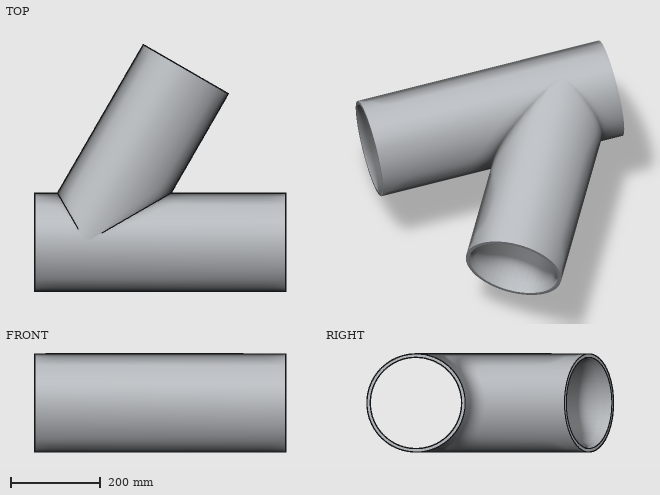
import cadquery as cq

run_length = 559.0
outer_diameter = 219.0
bore_diameter = 203.0
branch_angle = 60.0
branch_length = 445.0
branch_offset = 114.0


def run_cylinder(diameter):
    """Cylinder along X, starting at the run's -X end."""
    return cq.Workplane("YZ").circle(diameter / 2).extrude(run_length)


def branch_cylinder(diameter):
    """Cylinder from the crossing point, slanted from +X towards +Y."""
    return (
        cq.Workplane("YZ")
        .circle(diameter / 2)
        .extrude(branch_length)
        .rotate((0, 0, 0), (0, 0, 1), branch_angle)
        .translate((branch_offset, 0, 0))
    )


def fitting_volume(diameter):
    """Run and branch of one diameter joined together."""
    return run_cylinder(diameter).union(branch_cylinder(diameter))


result = fitting_volume(outer_diameter).cut(fitting_volume(bore_diameter))